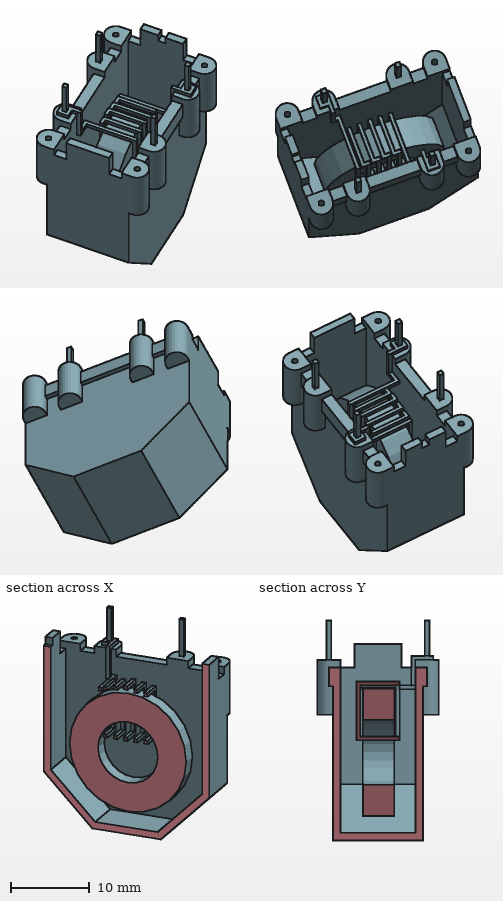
import cadquery as cq
import math

HOUSING_LENGTH = 23.0
HOUSING_WIDTH = 11.5
WALL = 1.0
BOTTOM_CHAMFER = 6.75
RIM_Z = 22.0
END_TAB_WIDTH = 6.02
END_TAB_TOP = 25.0
TAB_NOTCH_WIDTH = 1.05
TAB_NOTCH_DEPTH = 1.0

RAIL_BOTTOM = 19.6
RAIL_OVERHANG = 0.5

FACETS = 24
BOSS_RADIUS = 1.5
BOSS_X = 6.25
BOSS_BOTTOM = 16.0
BOSS_TOP = 23.0
PIN_BOSS_Y = 5.0
SCREW_BOSS_Y = HOUSING_LENGTH / 2 - BOSS_RADIUS
SCREW_HOLE_RADIUS = 0.35
HOLE_DEPTH = 5.0

PIN_SIDE = 0.62
PIN_TOP = 28.0

CORE_RADIUS = 8.12
CORE_WIDTH = 4.0
CORE_X = -0.08
CORE_Y = -0.2
CORE_Z = 11.23

WIRE = 0.5
COIL_X = 2.5
BAR_HEIGHTS = (19.25, 19.5, 19.75, 20.0, 19.75, 19.5)
COIL_BOTTOM = 13.0
PITCH = 1.4
FIRST_TURN_Y = 2.95

TURNS = len(BAR_HEIGHTS) - 2
HALF_PITCH = PITCH / 2
CORE_BORE_RADIUS = CORE_RADIUS - CORE_WIDTH
INNER_WIDTH = HOUSING_WIDTH - 2 * WALL
COLLAR_SIDE = PIN_SIDE + 2 * WIRE
COLLAR_Z = BOSS_TOP + WIRE / 2
LEAD_X = INNER_WIDTH / 2 - WIRE / 2
LEAD_Y = PIN_BOSS_Y - COLLAR_SIDE / 2 + WIRE / 2


def box(x_range, y_range, z_range):
    """Axis-aligned block between two limits along each axis."""
    (x0, x1), (y0, y1), (z0, z1) = x_range, y_range, z_range
    block = cq.Workplane("XY").box(x1 - x0, y1 - y0, z1 - z0, centered=False)
    return block.translate((x0, y0, z0))


def trough(length, width, floor_z, chamfer, top_z):
    """Upright block whose two lower ends are cut off at 45 degrees."""
    outline = (
        cq.Workplane("YZ")
        .moveTo(-length / 2, top_z)
        .lineTo(-length / 2, floor_z + chamfer)
        .lineTo(-length / 2 + chamfer, floor_z)
        .lineTo(length / 2 - chamfer, floor_z)
        .lineTo(length / 2, floor_z + chamfer)
        .lineTo(length / 2, top_z)
        .close()
    )
    return outline.extrude(width / 2, both=True)


def faceted_circle(plane, radius):
    """Regular polygon standing in for a circle, with a corner on each axis."""
    return cq.Workplane(plane).polygon(FACETS, 2 * radius)


def boss(side, y):
    """Round-ended boss on a long wall; side is -1 or +1 along X."""
    height = BOSS_TOP - BOSS_BOTTOM
    round_end = faceted_circle("XY", BOSS_RADIUS).extrude(height).translate((side * BOSS_X, y, BOSS_BOTTOM))
    x_range = sorted((side * INNER_WIDTH / 2, side * BOSS_X))
    root = box(x_range, (y - BOSS_RADIUS, y + BOSS_RADIUS), (BOSS_BOTTOM, BOSS_TOP))
    return root.union(round_end)


def pin(side, y):
    """Square terminal pin reaching down into its boss."""
    half = PIN_SIDE / 2
    x = side * BOSS_X
    return box((x - half, x + half), (y - half, y + half), (BOSS_TOP - HOLE_DEPTH, PIN_TOP))


def end_tab(end):
    """Raised tab in the middle of an end wall; end is -1 or +1 along Y."""
    y_range = sorted((end * (HOUSING_LENGTH / 2 - WALL), end * HOUSING_LENGTH / 2))
    return box((-END_TAB_WIDTH / 2, END_TAB_WIDTH / 2), y_range, (RIM_Z - WALL, END_TAB_TOP))


def make_housing():
    body = trough(HOUSING_LENGTH, HOUSING_WIDTH, 0, BOTTOM_CHAMFER, RIM_Z)
    rail_x = HOUSING_WIDTH / 2 + RAIL_OVERHANG
    rail_y = SCREW_BOSS_Y
    body = body.union(box((-rail_x, rail_x), (-rail_y, rail_y), (RAIL_BOTTOM, RIM_Z)))
    for side in (-1, 1):
        for y in (-SCREW_BOSS_Y, -PIN_BOSS_Y, PIN_BOSS_Y, SCREW_BOSS_Y):
            body = body.union(boss(side, y))
    for end in (-1, 1):
        body = body.union(end_tab(end))

    cavity_chamfer = BOTTOM_CHAMFER - WALL * (2 - math.sqrt(2))
    body = body.cut(trough(HOUSING_LENGTH - 2 * WALL, INNER_WIDTH, WALL, cavity_chamfer, END_TAB_TOP))

    half_notch = TAB_NOTCH_WIDTH / 2
    notch_y = (HOUSING_LENGTH / 2 - WALL, HOUSING_LENGTH / 2)
    body = body.cut(box((-half_notch, half_notch), notch_y, (END_TAB_TOP - TAB_NOTCH_DEPTH, END_TAB_TOP)))

    for side in (-1, 1):
        for y in (-SCREW_BOSS_Y, SCREW_BOSS_Y):
            hole = faceted_circle("XY", SCREW_HOLE_RADIUS).extrude(HOLE_DEPTH)
            body = body.cut(hole.translate((side * BOSS_X, y, BOSS_TOP - HOLE_DEPTH)))
        for y in (-PIN_BOSS_Y, PIN_BOSS_Y):
            body = body.cut(pin(side, y))
    return body


def make_core():
    ring = faceted_circle("YZ", CORE_RADIUS).polygon(FACETS, 2 * CORE_BORE_RADIUS)
    return ring.extrude(CORE_WIDTH / 2, both=True).translate((CORE_X, CORE_Y, CORE_Z))


def wire(points):
    """Square wire whose centreline runs through points, each leg parallel to an axis."""
    path = None
    for start, stop in zip(points, points[1:]):
        ranges = [(min(a, b) - WIRE / 2, max(a, b) + WIRE / 2) for a, b in zip(start, stop)]
        leg = box(*ranges)
        path = leg if path is None else path.union(leg)
    return path


def collared_pin(side, y):
    """Terminal pin with the square collar of wire that rests on its boss."""
    half = COLLAR_SIDE / 2
    x = side * BOSS_X
    collar = box((x - half, x + half), (y - half, y + half), (BOSS_TOP, BOSS_TOP + WIRE))
    return pin(side, y).union(collar)


def lead_points(side, bar_y, bar_z):
    """Lead from a collar, over the boss edge, down the wall and along it to a bar."""
    return [
        (side * BOSS_X, side * LEAD_Y, COLLAR_Z),
        (side * LEAD_X, side * LEAD_Y, COLLAR_Z),
        (side * LEAD_X, side * LEAD_Y, bar_z),
        (side * LEAD_X, bar_y, bar_z),
    ]


def turn_points(y, bar_z):
    """One turn, from the foot of a left leg to the foot of the next one, a pitch further along."""
    next_leg_y = y - HALF_PITCH
    return [
        (-COIL_X, y + HALF_PITCH, COIL_BOTTOM),
        (-COIL_X, y, COIL_BOTTOM),
        (COIL_X, y, COIL_BOTTOM),
        (COIL_X, y, bar_z),
        (-COIL_X, y, bar_z),
        (-COIL_X, next_leg_y, bar_z),
        (-COIL_X, next_leg_y, COIL_BOTTOM),
    ]


def make_winding():
    """Pin, lead and the turns of the coil."""
    first_leg_y = FIRST_TURN_Y + HALF_PITCH
    points = lead_points(1, first_leg_y, BAR_HEIGHTS[0])
    points.append((-COIL_X, first_leg_y, BAR_HEIGHTS[0]))
    for turn in range(TURNS):
        points += turn_points(FIRST_TURN_Y - turn * PITCH, BAR_HEIGHTS[turn + 1])
    return collared_pin(1, PIN_BOSS_Y).union(wire(points))


def make_end_lead():
    """Pin, lead and the open last loop, which the turns stop short of."""
    bar_y = FIRST_TURN_Y - TURNS * PITCH
    bar_z = BAR_HEIGHTS[-1]
    points = lead_points(-1, bar_y, bar_z) + [
        (COIL_X, bar_y, bar_z),
        (COIL_X, bar_y, COIL_BOTTOM),
        (-COIL_X, bar_y, COIL_BOTTOM),
    ]
    return collared_pin(-1, -PIN_BOSS_Y).union(wire(points))


housing = make_housing()
core = make_core()
winding = make_winding()
end_lead = make_end_lead()
plain_pins = [pin(side, -side * PIN_BOSS_Y) for side in (-1, 1)]

result = cq.Compound.makeCompound(
    [housing.val(), core.val(), winding.val(), end_lead.val(), *[p.val() for p in plain_pins]]
)